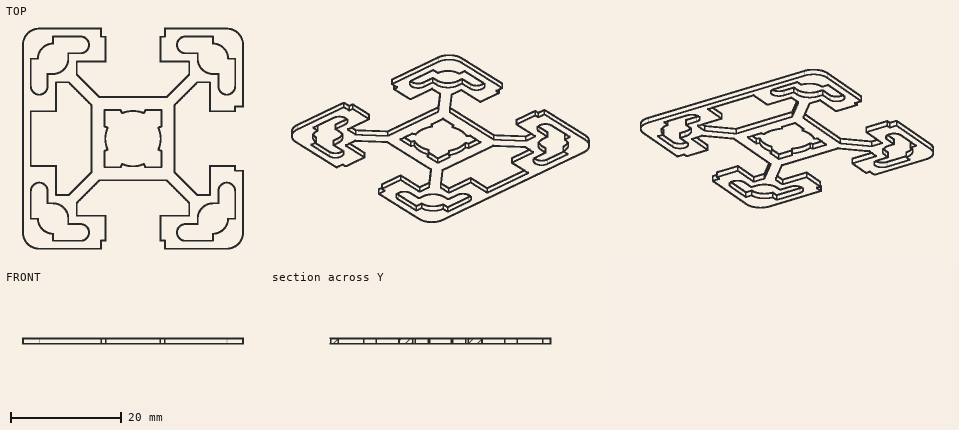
import cadquery as cq
import math

side = 40.0
thickness = 1.0
corner_radius = 3.0
half = side / 2

outer_wall = 1.5
mouth_half_width = 5.8
lip_half_width = 4.95
lip_depth = 6.05
slot_half_width = 10.2

core_half_width = 7.55
web_thickness = 2.1
web_offset = web_thickness / math.sqrt(2)

bore_half_width = 5.15
bore_radius = 5.0
rib_half_angle = math.radians(23.5)

hollow_wall = 1.55
arm_inner = lip_depth - hollow_wall
arm_radius = (arm_inner - outer_wall) / 2
arm_end = 12.0
round_near = 2.75
round_far = half - slot_half_width - hollow_wall
round_center = (round_near + round_far) / 2
round_radius = (round_far - round_near) / 2


def rotated(solid, angle):
    return solid.rotate((0, 0, 0), (0, 0, 1), angle)


def plate():
    return cq.Workplane("XY").rect(side, side).extrude(thickness).edges("|Z").fillet(corner_radius)


def t_slot(is_open):
    """T-slot on the +Y side; a closed slot stops at the outer wall."""
    lip_top = half - outer_wall
    lip_bottom = half - lip_depth
    right_side = [
        (lip_half_width, lip_top),
        (lip_half_width, lip_bottom),
        (slot_half_width, lip_bottom),
        (slot_half_width, slot_half_width + web_offset),
        (core_half_width - web_offset, core_half_width),
    ]
    if is_open:
        right_side = [(mouth_half_width, half), (mouth_half_width, lip_top)] + right_side
    left_side = [(-x, y) for x, y in reversed(right_side)]
    return cq.Workplane("XY").polyline(right_side + left_side).close().extrude(thickness)


def core_bore():
    """Square bore less the four sectors where a rib reaches in to the bore circle."""
    square = cq.Workplane("XY").rect(2 * bore_half_width, 2 * bore_half_width).extrude(thickness)
    circle = cq.Workplane("XY").circle(bore_radius).extrude(thickness)
    sector_half_width = bore_half_width * math.tan(rib_half_angle)
    sector = (
        cq.Workplane("XY")
        .polyline([(0, 0), (sector_half_width, bore_half_width), (-sector_half_width, bore_half_width)])
        .close()
        .extrude(thickness)
    )
    rib = sector.cut(circle)
    for quarter in range(4):
        square = square.cut(rotated(rib, 90 * quarter))
    return square


def corner_hollow():
    """L-shaped hollow of the (-X, -Y) corner, symmetric about the diagonal."""
    arm_middle = outer_wall + arm_radius
    arm_straight_end = arm_end - arm_radius
    diagonal_reach = round_radius / math.sqrt(2)
    near_mid = round_center - diagonal_reach
    far_mid = round_center + diagonal_reach
    return (
        cq.Workplane("XY", origin=(-half, -half, 0))
        .moveTo(round_center, outer_wall)
        .lineTo(arm_straight_end, outer_wall)
        .threePointArc((arm_end, arm_middle), (arm_straight_end, arm_inner))
        .lineTo(round_far, arm_inner)
        .lineTo(round_far, round_center)
        .threePointArc((far_mid, far_mid), (round_center, round_far))
        .lineTo(arm_inner, round_far)
        .lineTo(arm_inner, arm_straight_end)
        .threePointArc((arm_middle, arm_end), (outer_wall, arm_straight_end))
        .lineTo(outer_wall, round_center)
        .lineTo(round_near, round_center)
        .threePointArc((near_mid, near_mid), (round_center, round_near))
        .close()
        .extrude(thickness)
    )


closed_quarter = 1

result = plate().cut(core_bore())
for quarter in range(4):
    angle = 90 * quarter
    result = result.cut(rotated(t_slot(quarter != closed_quarter), angle))
    result = result.cut(rotated(corner_hollow(), angle))